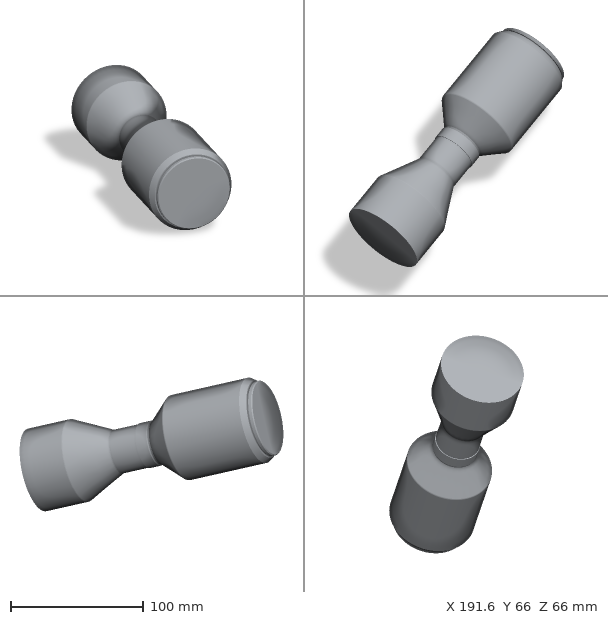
import cadquery as cq

length = 191.6

head_radius = 32.0
neck_radius = 16.9
collar_radius = 17.5
body_radius = 33.0
shoulder_radius = 29.9
groove_radius = 28.0
rim_radius = 29.0

head_end = 35.0
neck_start = 67.3
collar_start = 89.5
collar_end = 99.2
body_cone_start = 100.4
body_start = 119.0
shoulder_start = 182.8
shoulder_end = 187.4
rim_start = 188.5

head_blend = 1.5
neck_blend = 1.5
body_blend = 1.5
edge_chamfer = 0.8

profile = (
    cq.Workplane("XY")
    .moveTo(0, 0)
    .lineTo(0, head_radius)
    .lineTo(head_end, head_radius)
    .lineTo(neck_start, neck_radius)
    .lineTo(collar_start, neck_radius)
    .lineTo(collar_start, collar_radius)
    .lineTo(collar_end - edge_chamfer, collar_radius)
    .lineTo(collar_end, collar_radius - edge_chamfer)
    .lineTo(body_cone_start, collar_radius - edge_chamfer)
    .lineTo(body_start, body_radius)
    .lineTo(shoulder_start, body_radius)
    .lineTo(shoulder_end, shoulder_radius)
    .lineTo(shoulder_end, groove_radius)
    .lineTo(rim_start, groove_radius)
    .lineTo(rim_start, rim_radius)
    .lineTo(length - edge_chamfer, rim_radius)
    .lineTo(length, rim_radius - edge_chamfer)
    .lineTo(length, 0)
    .close()
)
turned = profile.revolve(360, (0, 0, 0), (1, 0, 0))


def round_corner(part, position, radius, blend):
    """Round the circular edge centred on the axis at the given position."""
    margin = 0.2
    reach = radius + margin
    corner = cq.selectors.BoxSelector(
        (position - margin, -reach, -reach),
        (position + margin, reach, reach),
    )
    return part.edges(corner).edges("%CIRCLE").fillet(blend)


result = round_corner(turned, head_end, head_radius, head_blend)
result = round_corner(result, neck_start, neck_radius, neck_blend)
result = round_corner(result, body_start, body_radius, body_blend)